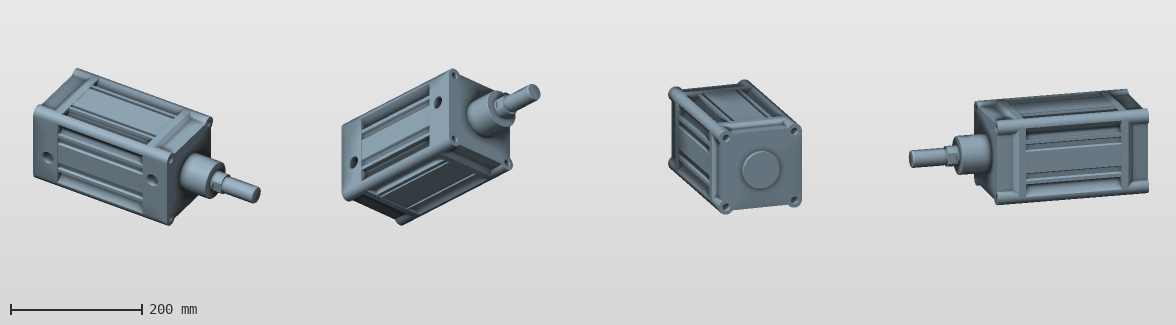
import cadquery as cq
import math

LENGTH = 365.0
SIDE = 134.0
TIE_POS = 55.0
CORNER_R = SIDE / 2 - TIE_POS

BOSS_D = 60.0
BOSS_LEN = 6.0
CAP_LEN = 43.8
COLLAR_LEN = 46.0
BOSS_CHAMFER = 0.7
POCKET_DEPTH = 6.0
POCKET_FLOOR_LEN = 24.0
POCKET_LEN = 33.0
TIE_HOLE_D = 10.2
TIE_HOLE_DEPTH = 14.5
TIE_HOLE_CHAMFER = 0.7
PORT_D = 19.0
PORT_DEPTH = 22.0
PORT_CHAMFER = 0.9
PORT_FROM_END = 26.3
PORT_OFFSET = 14.5

BARREL_LEN = 152.2
FACE_INSET = 0.7
VALLEY_OUTER = 54.8
VALLEY_APEX = 40.0
VALLEY_INNER = 34.5
VALLEY_R = 3.1
SIDE_GROOVE_OUTER = 29.2
SIDE_GROOVE_INNER = 17.0
SIDE_GROOVE_TAPER = 2.2
TOP_GROOVE_OUTER = 30.3
TOP_GROOVE_INNER = 25.0
GROOVE_DEPTH = 3.5

ROD_D = 32.0
ROD_COLLAR_LEN = 3.0
ROD_STEP_LEN = 0.7
WRENCH_D = 31.8
FLATS_LEN = 14.5
FLATS_ACROSS = 27.0
NECK_D = 25.2
NECK_LEN = 2.2
THREAD_D = 27.0
THREAD_LEAD_IN = 2.2
TIP_CHAMFER_LEN = 2.2
TIP_D = 25.2

HALF = SIDE / 2
FACE = HALF - FACE_INSET
REAR_CAP_X = BOSS_LEN
BARREL_X = REAR_CAP_X + CAP_LEN
FRONT_CAP_X = BARREL_X + BARREL_LEN
COLLAR_X = FRONT_CAP_X + CAP_LEN
ROD_X = COLLAR_X + COLLAR_LEN
BARREL_MID_X = BARREL_X + BARREL_LEN / 2
TIE_POINTS = [(y, z) for y in (-TIE_POS, TIE_POS) for z in (-TIE_POS, TIE_POS)]


def section_plane(x):
    """Plane across the axis: local x is Y, local y is Z, normal is +X."""
    return cq.Workplane("YZ", origin=(x, 0, 0))


def rounded_square(x, length):
    bar = section_plane(x).rect(SIDE, SIDE).extrude(length)
    return bar.edges("|X").fillet(CORNER_R)


def relief_pocket():
    """Cutter for the +Z side of the rear cap, ending at the round corner lobes."""
    floor = HALF - POCKET_DEPTH
    lobe_angle = math.acos((floor - TIE_POS) / CORNER_R)
    floor_end = TIE_POS - CORNER_R * math.sin(lobe_angle)
    arc_mid_y = TIE_POS - CORNER_R * math.sin(lobe_angle / 2)
    arc_mid_z = TIE_POS + CORNER_R * math.cos(lobe_angle / 2)
    between_lobes = (
        section_plane(REAR_CAP_X)
        .moveTo(-TIE_POS, HALF)
        .threePointArc((-arc_mid_y, arc_mid_z), (-floor_end, floor))
        .lineTo(floor_end, floor)
        .threePointArc((arc_mid_y, arc_mid_z), (TIE_POS, HALF))
        .close()
        .extrude(POCKET_LEN)
    )
    side_profile = (
        cq.Workplane("XZ", origin=(REAR_CAP_X, HALF, 0))
        .moveTo(0, SIDE)
        .lineTo(0, floor)
        .lineTo(POCKET_FLOOR_LEN, floor)
        .lineTo(POCKET_LEN, HALF)
        .lineTo(POCKET_LEN, SIDE)
        .close()
        .extrude(SIDE)
    )
    return between_lobes.intersect(side_profile)


def cap_block():
    """Rear cap without boss and port; its outer face points to -X."""
    block = rounded_square(REAR_CAP_X, CAP_LEN)
    for angle in (0, -90, 180):
        block = block.cut(relief_pocket().rotate((0, 0, 0), (1, 0, 0), angle))
    for y, z in TIE_POINTS:
        hole = chamfered_hole(TIE_HOLE_D, TIE_HOLE_DEPTH, TIE_HOLE_CHAMFER)
        hole = hole.rotate((0, 0, 0), (0, 0, 1), -90)
        block = block.cut(hole.translate((REAR_CAP_X, y, z)))
    return block


def chamfered_hole(diameter, depth, chamfer):
    """Cutter for a blind hole that starts at the origin and runs toward +Y."""
    radius = diameter / 2
    return (
        cq.Workplane("XY")
        .lineTo(radius + chamfer, 0)
        .lineTo(radius, chamfer)
        .lineTo(radius, depth)
        .lineTo(0, depth)
        .close()
        .revolve(360, (0, 0, 0), (0, 1, 0))
    )


def air_port(x, z):
    return chamfered_hole(PORT_D, PORT_DEPTH, PORT_CHAMFER).translate((x, -HALF, z))


def make_rear_cap():
    boss = section_plane(0).circle(BOSS_D / 2).extrude(BOSS_LEN).faces("<X").chamfer(BOSS_CHAMFER)
    port = air_port(REAR_CAP_X + PORT_FROM_END, -PORT_OFFSET)
    return cap_block().union(boss).cut(port)


def make_front_cap():
    block = cap_block().mirror("YZ", (BARREL_MID_X, 0, 0))
    collar = section_plane(COLLAR_X).circle(BOSS_D / 2).extrude(COLLAR_LEN)
    collar = collar.faces(">X").chamfer(BOSS_CHAMFER)
    port = air_port(COLLAR_X - PORT_FROM_END, PORT_OFFSET)
    return block.union(collar).cut(port)


def barrel_cutter(points):
    """Prism along the barrel from (across, outward) points of its +Z side."""
    return section_plane(BARREL_X).polyline(points).close().extrude(BARREL_LEN)


def valley_cutter():
    apex = HALF - (VALLEY_OUTER - VALLEY_APEX)
    cutter = barrel_cutter([
        (VALLEY_OUTER, HALF),
        (VALLEY_APEX, apex),
        (VALLEY_INNER, apex + VALLEY_APEX - VALLEY_INNER),
        (VALLEY_INNER, HALF),
    ])
    return cutter.edges("|X").edges("<Z").fillet(VALLEY_R)


def face_cutter():
    """Lowers the flat face between the two valleys of a side."""
    strip = section_plane(BARREL_X).center(0, (FACE + HALF) / 2)
    return strip.rect(2 * VALLEY_INNER, FACE_INSET).extrude(BARREL_LEN)


def groove_cutter(inner, outer, taper):
    floor = FACE - GROOVE_DEPTH
    return barrel_cutter([
        (inner, FACE),
        (inner + taper, floor),
        (outer - taper, floor),
        (outer, FACE),
    ])


def make_barrel():
    barrel = rounded_square(BARREL_X, BARREL_LEN)
    side_groove = groove_cutter(SIDE_GROOVE_INNER, SIDE_GROOVE_OUTER, SIDE_GROOVE_TAPER)
    top_groove = groove_cutter(TOP_GROOVE_INNER, TOP_GROOVE_OUTER, 0)
    grooves_by_angle = ((0, top_groove), (90, side_groove), (180, top_groove), (270, side_groove))
    for angle, groove in grooves_by_angle:
        half_side = [valley_cutter(), groove]
        mirrored = [cutter.mirror("XZ") for cutter in half_side]
        for cutter in [face_cutter()] + half_side + mirrored:
            barrel = barrel.cut(cutter.rotate((0, 0, 0), (1, 0, 0), angle))
    return barrel


def make_rod():
    """Turned rod that starts at the collar face, with two wrench flats."""
    step_x = ROD_X + ROD_COLLAR_LEN
    flats_x = step_x + ROD_STEP_LEN
    neck_x = flats_x + FLATS_LEN
    cone_x = neck_x + NECK_LEN
    rod = (
        cq.Workplane("XY")
        .moveTo(ROD_X, 0)
        .lineTo(ROD_X, ROD_D / 2)
        .lineTo(step_x, ROD_D / 2)
        .lineTo(flats_x, WRENCH_D / 2)
        .lineTo(neck_x, WRENCH_D / 2)
        .lineTo(neck_x, NECK_D / 2)
        .lineTo(cone_x, NECK_D / 2)
        .lineTo(cone_x + THREAD_LEAD_IN, THREAD_D / 2)
        .lineTo(LENGTH - TIP_CHAMFER_LEN, THREAD_D / 2)
        .lineTo(LENGTH, TIP_D / 2)
        .lineTo(LENGTH, 0)
        .close()
        .revolve(360, (0, 0, 0), (1, 0, 0))
    )
    flats = section_plane(flats_x).rect(ROD_D, ROD_D).rect(FLATS_ACROSS, ROD_D).extrude(FLATS_LEN)
    return rod.cut(flats)


rear_cap = make_rear_cap()
barrel = make_barrel()
front_cap = make_front_cap()
rod = make_rod()

bodies = [rear_cap, barrel, front_cap, rod]
result = cq.Compound.makeCompound([body.solids().val() for body in bodies])